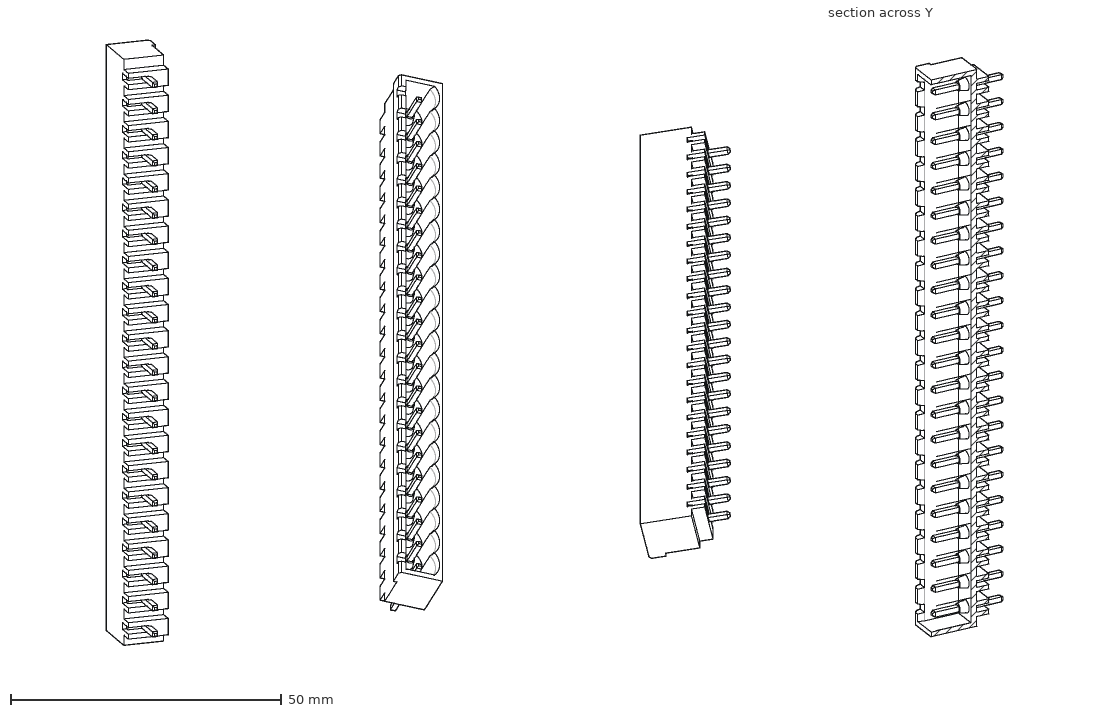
import cadquery as cq
import math


LENGTH = 113.8
PIN_COUNT = 22
END_WALL = 1.0
BODY_DEPTH = 9.7
FRONT_Y = -4.0
BACK_Y = 3.9

RIB_TOP_Y = 4.5
RIB_WIDTH = 3.2
RIB_CHAMFER = 0.5

CAVITY_DEPTH = 8.4
CAVITY_BACK_Y = 2.8
SCALLOP_RADIUS = 3.4
SCALLOP_CENTRE_Y = 0.3
LEAD_IN = 0.3
LEAD_IN_DEPTH = 1.3

NOTCH_FLOOR_WIDTH = 1.6
NOTCH_MOUTH_WIDTH = 2.0
NOTCH_DEPTH = LEAD_IN_DEPTH

STANDOFF_WIDTH = 3.2
STANDOFF_HEIGHT = 2.5
SLOT_WIDTH = 1.3
RECESS_START_X = 8.9
RECESS_DEPTH = 0.8

PIN_WIDTH = 1.0
PIN_FRONT_X = 1.3
PIN_REAR_X = 16.2
TIP_LENGTH = 0.5
TIP_ANGLE = 30
COLLAR_BASE_RADIUS = 1.3
COLLAR_TOP_RADIUS = 0.9
COLLAR_HEIGHT = 1.7

CAVITY_LENGTH = LENGTH - 2 * END_WALL
PITCH = CAVITY_LENGTH / PIN_COUNT
PIN_HEIGHTS = [(i - (PIN_COUNT - 1) / 2) * PITCH for i in range(PIN_COUNT)]
REAR_X = BODY_DEPTH + STANDOFF_HEIGHT
ALONG_X = cq.Vector(1, 0, 0)


def block(x_range, y_range, height):
    """Box between two X and two Y limits, centred on Z = 0."""
    x_low, x_high = x_range
    y_low, y_high = y_range
    corner = cq.Vector(x_low, y_low, -height / 2)
    return cq.Workplane(cq.Solid.makeBox(x_high - x_low, y_high - y_low, height, corner))


def at_each_pin(shape):
    """Copies of a shape made at Z = 0, one at every pin."""
    solid = shape.val()
    copies = [solid.translate(cq.Vector(0, 0, z)) for z in PIN_HEIGHTS]
    return cq.Workplane(cq.Compound.makeCompound(copies))


def make_housing():
    """Solid bar with the chamfered locking rib on its back."""
    profile = (
        cq.Workplane("XY")
        .moveTo(0, FRONT_Y)
        .lineTo(BODY_DEPTH, FRONT_Y)
        .lineTo(BODY_DEPTH, BACK_Y)
        .lineTo(RIB_WIDTH, BACK_Y)
        .lineTo(RIB_WIDTH, RIB_TOP_Y)
        .lineTo(RIB_CHAMFER, RIB_TOP_Y)
        .lineTo(0, RIB_TOP_Y - RIB_CHAMFER)
        .close()
    )
    return profile.extrude(LENGTH / 2, both=True)


def cavity_outline(x, growth):
    """Cavity section at x: straight back and ends, one arc per pin in front."""
    half_pitch = PITCH / 2
    half_length = CAVITY_LENGTH / 2
    radius = SCALLOP_RADIUS + growth
    back = CAVITY_BACK_Y + growth
    trough = SCALLOP_CENTRE_Y - radius
    cusp = SCALLOP_CENTRE_Y - math.sqrt(radius**2 - half_pitch**2)
    outline = cq.Workplane("YZ", origin=(x, 0, 0)).moveTo(back, -half_length).lineTo(cusp, -half_length)
    for z in PIN_HEIGHTS:
        outline = outline.threePointArc((trough, z), (cusp, z + half_pitch))
    return outline.lineTo(back, half_length).close()


def make_cavity():
    """Straight-walled cavity whose back and scalloped walls flare out at the mouth."""
    straight = cavity_outline(LEAD_IN_DEPTH, 0).extrude(CAVITY_DEPTH - LEAD_IN_DEPTH)
    mouth_sections = [cavity_outline(0, LEAD_IN), cavity_outline(LEAD_IN_DEPTH, 0)]
    mouth_wires = [section.wire().val() for section in mouth_sections]
    mouth = cq.Solid.makeLoft(mouth_wires, True)
    return straight.union(cq.Workplane(mouth))


def notch():
    """Trapezoid through the back wall, narrowing from the mating face to its floor."""
    floor_half = NOTCH_FLOOR_WIDTH / 2
    mouth_half = NOTCH_MOUTH_WIDTH / 2
    outline = [
        (0, -mouth_half),
        (NOTCH_DEPTH, -floor_half),
        (NOTCH_DEPTH, floor_half),
        (0, mouth_half),
    ]
    plane = cq.Workplane("XZ", origin=(0, RIB_TOP_Y, 0))
    return plane.polyline(outline).close().extrude(RIB_TOP_Y)


def pin():
    """Square pin along X with a tapered tip at each end."""
    tip_width = PIN_WIDTH - 2 * TIP_LENGTH * math.tan(math.radians(TIP_ANGLE))
    front_shoulder = PIN_FRONT_X + TIP_LENGTH
    rear_shoulder = PIN_REAR_X - TIP_LENGTH
    half = PIN_WIDTH / 2
    shaft = block((front_shoulder, rear_shoulder), (-half, half), PIN_WIDTH)

    def tip(shoulder, outward):
        return (
            cq.Workplane("YZ", origin=(shoulder, 0, 0))
            .rect(PIN_WIDTH, PIN_WIDTH)
            .workplane(offset=outward * TIP_LENGTH)
            .rect(tip_width, tip_width)
            .loft(ruled=True)
        )

    return shaft.union(tip(front_shoulder, -1)).union(tip(rear_shoulder, 1))


def collar():
    """Cone around a pin, standing on the cavity floor."""
    cone = cq.Solid.makeCone(
        COLLAR_TOP_RADIUS,
        COLLAR_BASE_RADIUS,
        COLLAR_HEIGHT,
        cq.Vector(CAVITY_DEPTH - COLLAR_HEIGHT, 0, 0),
        ALONG_X,
    )
    return cq.Workplane(cone)


standoff = block((BODY_DEPTH, REAR_X), (FRONT_Y, BACK_Y), STANDOFF_WIDTH)
slot = block((BODY_DEPTH, REAR_X), (FRONT_Y, 0), SLOT_WIDTH)
recess = block((RECESS_START_X, BODY_DEPTH), (FRONT_Y, FRONT_Y + RECESS_DEPTH), SLOT_WIDTH)

housing = make_housing().union(at_each_pin(standoff))
housing = housing.cut(make_cavity())
housing = housing.cut(at_each_pin(notch()))
housing = housing.cut(at_each_pin(slot)).cut(at_each_pin(recess))
result = housing.union(at_each_pin(collar())).union(at_each_pin(pin()))